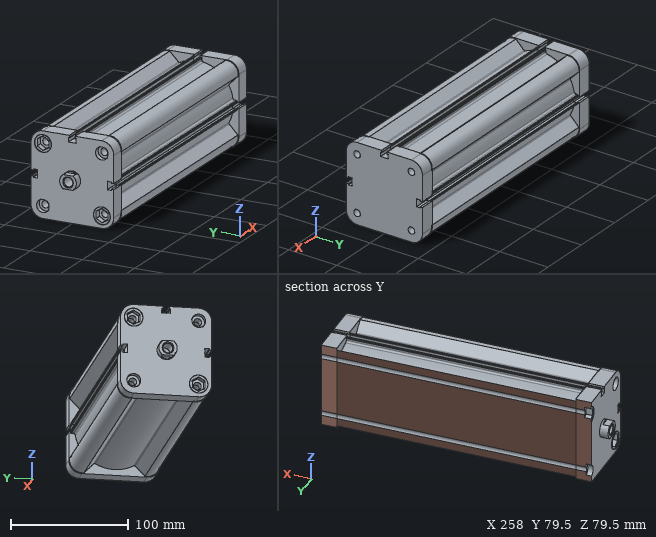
import cadquery as cq
import math


total_length = 258.0
rod_protrusion = 8.0
cap_length = 14.7
front_cap_start = rod_protrusion
barrel_start = front_cap_start + cap_length
rear_cap_start = total_length - cap_length
barrel_length = rear_cap_start - barrel_start

cap_side = 79.5
cap_half = cap_side / 2
hole_pitch = 56.5
hole_offset = hole_pitch / 2
cap_corner_radius = cap_half - hole_offset
through_hole_diameter = 6.7

round_recess_diameter = 11.9
round_recess_depth = 5.0
hex_recess_flats = 11.0
hex_recess_corners = hex_recess_flats / math.cos(math.radians(30))
hex_recess_depth = 6.5
washer_recess_diameter = 16.0
washer_recess_depth = 0.5

slot_neck_width = 5.5
slot_inner_width = 7.5
slot_neck_depth = 2.3
slot_depth = 6.2
slot_angles = (0, 90, 180)

core_radius = 34.5
lobe_radius = 10.8
flank_offset = 12.5
rail_width = 9.0
rail_height = 38.5
rail_chamfer = 0.8
flank_fillet = 1.0
rail_fillet = 1.8
core_edge_tolerance = 0.03

rod_diameter = 16.0
rod_flats = 13.0
rod_flat_length = 6.2
thread_bore_diameter = 8.5
thread_mouth_diameter = 10.0
thread_bore_depth = 15.0
drill_tip_angle = 118.0


def section(x):
    """Workplane normal to X at the given x, with local axes along Y and Z."""
    return cq.Workplane("YZ", origin=(x, 0, 0))


def hole_centres():
    return [(sy * hole_offset, sz * hole_offset) for sy in (-1, 1) for sz in (-1, 1)]


def around_axis(shape, angles):
    """Copies of a shape turned about the X axis."""
    return [shape.rotate((0, 0, 0), (1, 0, 0), angle) for angle in angles]


def t_slots(x, length):
    """Cutters for the T-slots; the unturned one opens toward +Y."""
    neck_half = slot_neck_width / 2
    inner_half = slot_inner_width / 2
    neck_floor = cap_half - slot_neck_depth
    slot_floor = cap_half - slot_depth
    slot = (
        section(x)
        .moveTo(cap_half, -neck_half)
        .lineTo(neck_floor, -neck_half)
        .lineTo(neck_floor, -inner_half)
        .lineTo(slot_floor, -inner_half)
        .lineTo(slot_floor, inner_half)
        .lineTo(neck_floor, inner_half)
        .lineTo(neck_floor, neck_half)
        .lineTo(cap_half, neck_half)
        .close()
        .extrude(length)
    )
    return around_axis(slot, slot_angles)


def through_holes(x, length):
    return section(x).pushPoints(hole_centres()).circle(through_hole_diameter / 2).extrude(length)


def make_cap(x):
    """Rounded square plate with T-slots and four through holes."""
    cap = section(x).rect(cap_side, cap_side).extrude(cap_length).edges("|X").fillet(cap_corner_radius)
    for slot in t_slots(x, cap_length):
        cap = cap.cut(slot)
    return cap.cut(through_holes(x, cap_length))


def make_front_cap():
    """End cap with recessed screw holes and a bore for the rod."""
    cap = make_cap(front_cap_start)
    hex_centres = [(y, z) for y, z in hole_centres() if y * z > 0]
    round_centres = [(y, z) for y, z in hole_centres() if y * z < 0]
    face = section(front_cap_start)
    cap = cap.cut(face.pushPoints(round_centres).circle(round_recess_diameter / 2).extrude(round_recess_depth))
    cap = cap.cut(face.pushPoints(hex_centres).circle(washer_recess_diameter / 2).extrude(washer_recess_depth))
    for y, z in hex_centres:
        pocket = (
            section(front_cap_start)
            .polygon(6, hex_recess_corners)
            .extrude(hex_recess_depth)
            .rotate((0, 0, 0), (1, 0, 0), 90)
            .translate((0, y, z))
        )
        cap = cap.cut(pocket)
    return cap.cut(face.circle(rod_diameter / 2).extrude(cap_length))


def corner_lobe():
    """Rounded corner of the barrel, joined to the axis by two 45-degree flanks."""
    flank_half_width = flank_offset / math.sqrt(2)
    reach = math.sqrt(lobe_radius**2 - flank_half_width**2) / math.sqrt(2)
    near = hole_offset + reach - flank_offset / 2
    far = near + flank_offset
    arc_middle = hole_offset + lobe_radius / math.sqrt(2)
    return (
        section(barrel_start)
        .moveTo(0, flank_offset)
        .lineTo(near, far)
        .threePointArc((arc_middle, arc_middle), (far, near))
        .lineTo(flank_offset, 0)
        .close()
        .extrude(barrel_length)
    )


def slot_rail():
    """Raised bar that carries a T-slot, on the +Y side."""
    return (
        section(barrel_start)
        .center(rail_height / 2, 0)
        .rect(rail_height, rail_width)
        .extrude(barrel_length)
        .edges("|X and >Y")
        .chamfer(rail_chamfer)
    )


def fillet_core_corners(barrel, radius):
    """Round the inner corners along the core, where other features rise from it."""

    def is_corner(edge):
        centre = edge.Center()
        return abs(math.hypot(centre.y, centre.z) - core_radius) < core_edge_tolerance

    corners = [edge for edge in barrel.edges("|X").vals() if is_corner(edge)]
    return barrel.newObject(corners).fillet(radius)


def make_barrel():
    """Round core with four corner lobes and a slotted rail on three sides."""
    barrel = section(barrel_start).circle(core_radius).extrude(barrel_length)
    for lobe in around_axis(corner_lobe(), (0, 90, 180, 270)):
        barrel = barrel.union(lobe)
    barrel = fillet_core_corners(barrel, flank_fillet)
    for rail in around_axis(slot_rail(), slot_angles):
        barrel = barrel.union(rail)
    barrel = fillet_core_corners(barrel, rail_fillet)
    for slot in t_slots(barrel_start, barrel_length):
        barrel = barrel.cut(slot)
    return barrel.cut(through_holes(barrel_start, barrel_length))


def make_rod():
    """Rod end with two wrench flats and a drilled, chamfered thread bore."""
    rod_length = rod_protrusion + cap_length
    rod = section(0).circle(rod_diameter / 2).extrude(rod_length)
    flat_zone = section(0).rect(rod_diameter, rod_flats).extrude(rod_flat_length)
    round_zone = section(rod_flat_length).rect(rod_diameter, rod_diameter).extrude(rod_length)
    rod = rod.intersect(flat_zone.union(round_zone))

    bore_radius = thread_bore_diameter / 2
    mouth_radius = thread_mouth_diameter / 2
    mouth_depth = mouth_radius - bore_radius
    tip_length = bore_radius / math.tan(math.radians(drill_tip_angle / 2))
    bore = (
        cq.Workplane("XY")
        .lineTo(0, mouth_radius)
        .lineTo(mouth_depth, bore_radius)
        .lineTo(thread_bore_depth, bore_radius)
        .lineTo(thread_bore_depth + tip_length, 0)
        .close()
        .revolve(360, (0, 0, 0), (1, 0, 0))
    )
    return rod.cut(bore)


rod = make_rod()
front_cap = make_front_cap()
barrel = make_barrel()
rear_cap = make_cap(rear_cap_start)

result = cq.Compound.makeCompound([rod.val(), front_cap.val(), barrel.val(), rear_cap.val()])